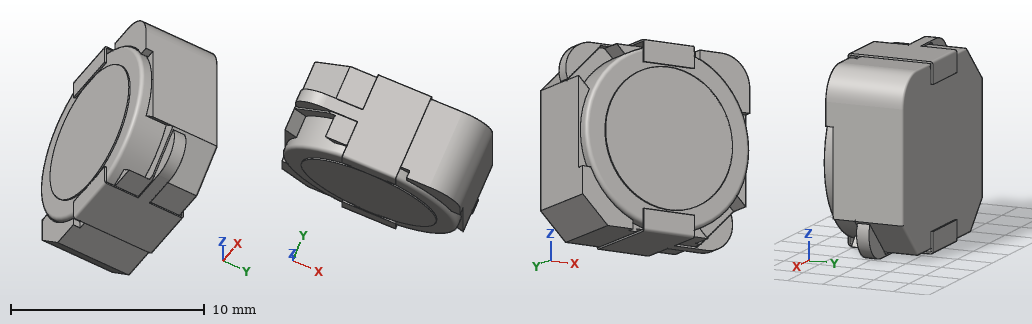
import cadquery as cq
import math

case_side = 10.0
overall_depth = 4.8
sheet = 0.1

half_side = case_side / 2
front_y = -overall_depth / 2
back_y = overall_depth / 2

case_back_y = back_y - sheet
disc_front_y = front_y + sheet
disc_fillet = 0.2
pad_front_y = disc_front_y + disc_fillet
pad_height = 0.42
ledge_y = pad_front_y + pad_height
pocket_depth = 1.23
pocket_floor_y = ledge_y + pocket_depth

round_corner_radius = 1.7
plain_chamfer = 1.5
tab_chamfer_width = 3.0
tab_chamfer = tab_chamfer_width / math.sqrt(2)
arm_clearance = 0.15
back_edge_round = 0.12
pad_start = 2.0

disc_radius = 4.9
pad_gap = 0.05
raised_radius = 3.79
raised_height = 0.08

terminal_width = 3.0
flange_length = 1.2
bend_outer_radius = 0.15
bend_inner_radius = bend_outer_radius - sheet
tab_width = 0.7
tab_radius = 1.54
tab_center_x = -3.45

half_terminal = terminal_width / 2
terminal_top = half_side + sheet


def front_plane(y):
    """Sketch plane at depth y: local x is X, local y is Z, extrusion runs towards -Y."""
    return cq.Workplane("XZ", origin=(0, y, 0))


def make_slab(y_back, y_front):
    """Slab with the case outline between two depths."""
    low = half_side - arm_clearance
    slope_end = half_side - tab_chamfer + arm_clearance
    return (
        front_plane(y_back)
        .moveTo(-half_side, -half_side + plain_chamfer)
        .lineTo(-half_side, half_side - tab_chamfer)
        .lineTo(-slope_end, low)
        .lineTo(half_terminal, low)
        .lineTo(half_terminal, half_side)
        .lineTo(half_side - round_corner_radius, half_side)
        .radiusArc((half_side, half_side - round_corner_radius), round_corner_radius)
        .lineTo(half_side, -half_side + tab_chamfer)
        .lineTo(slope_end, -low)
        .lineTo(-half_terminal, -low)
        .lineTo(-half_terminal, -half_side)
        .lineTo(-half_side + plain_chamfer, -half_side)
        .close()
        .extrude(y_back - y_front)
    )


def make_corner_pads():
    """Two raised pads, in the rounded corner and in the plain chamfered one."""
    pad_size = half_side - pad_start
    pad_center = pad_start + pad_size / 2
    squares = (
        front_plane(ledge_y)
        .pushPoints([(pad_center, pad_center), (-pad_center, -pad_center)])
        .rect(pad_size, pad_size)
        .extrude(pad_height)
    )
    disc_room = front_plane(ledge_y).circle(disc_radius + pad_gap).extrude(pad_height)
    return make_slab(ledge_y, pad_front_y).intersect(squares).cut(disc_room)


def make_corner_pockets():
    """A bar along the tab diagonal that opens both tab corners down to the pocket floor."""
    return (
        front_plane(pocket_floor_y)
        .transformed(rotate=(0, 0, 45))
        .rect(tab_chamfer_width, 2 * case_side)
        .extrude(pocket_depth)
    )


def make_disc():
    """Round front flange with a rounded rim and a slightly raised centre."""
    disc = (
        front_plane(pocket_floor_y)
        .circle(disc_radius)
        .extrude(pocket_floor_y - disc_front_y)
        .faces("<Y")
        .edges()
        .fillet(disc_fillet)
    )
    raised = front_plane(disc_front_y).circle(raised_radius).extrude(raised_height)
    return disc.union(raised)


def make_case():
    """Case body with its pads, tab corner pockets and front disc, rounded along the back edge."""
    base = make_slab(case_back_y, ledge_y).faces(">Y").edges().fillet(back_edge_round)
    return base.union(make_corner_pads()).cut(make_corner_pockets()).union(make_disc())


def make_clip():
    """C-shaped clip, open towards the centre of the part."""
    outer = (
        cq.Workplane("XY")
        .box(terminal_width, overall_depth, flange_length)
        .edges("|X and >Z")
        .fillet(bend_outer_radius)
    )
    inner = (
        cq.Workplane("XY")
        .box(terminal_width, overall_depth - 2 * sheet, flange_length)
        .edges("|X and >Z")
        .fillet(bend_inner_radius)
        .translate((0, 0, -sheet))
    )
    return outer.cut(inner).translate((0, 0, terminal_top - flange_length / 2))


def make_tab():
    """Arm leaving the clip sideways and ending in a round lug that rests on the case chamfer."""
    center_z = terminal_top - tab_radius
    chamfer_sum = case_side - tab_chamfer
    offset = (chamfer_sum + tab_center_x - center_z) / math.sqrt(2)
    half_chord = math.sqrt(tab_radius**2 - offset**2)
    chord_x = tab_center_x - (offset + half_chord) / math.sqrt(2)
    return (
        front_plane(tab_width / 2)
        .moveTo(-half_terminal, terminal_top)
        .lineTo(tab_center_x, terminal_top)
        .threePointArc((tab_center_x - tab_radius, center_z), (chord_x, chord_x + chamfer_sum))
        .lineTo(half_side - chamfer_sum, half_side)
        .lineTo(-half_terminal, half_side)
        .close()
        .extrude(tab_width)
    )


def make_terminal(turn):
    """One terminal, turned about the Y axis by the given angle."""
    return make_clip().union(make_tab()).rotate((0, 0, 0), (0, 1, 0), turn)


case = make_case()
terminals = [make_terminal(turn) for turn in (0, 180)]

result = cq.Compound.makeCompound([case.val(), *[terminal.val() for terminal in terminals]])